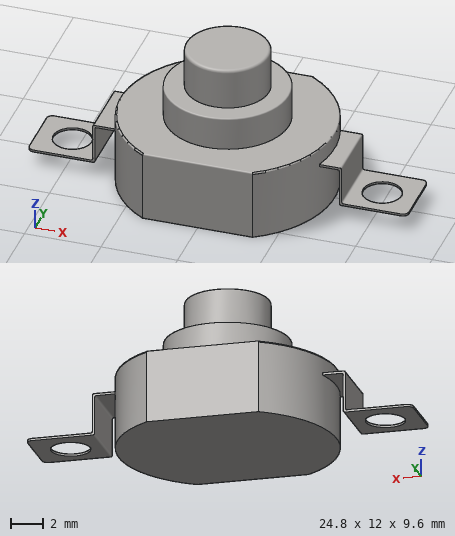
import cadquery as cq

housing_diameter = 13.99
housing_depth = 12.0
housing_height = 4.69
housing_edge_round = 0.1
collar_diameter = 8.0
collar_top = 6.9
collar_edge_round = 0.1

button_diameter = 5.4
button_top = 9.6
button_edge_round = 0.2

terminal_span = 24.8
terminal_width = 4.22
sheet_thickness = 0.15
tab_bottom = 0.9
shelf_top = 3.62
riser_outer_x = 8.13
bend_radius = 0.12
tab_corner_radius = 0.4
tab_hole_diameter = 2.5
tab_hole_x = 10.12
tab_hole_y = -0.07


def make_housing():
    """Flatted round block with a collar on top, in one piece."""
    flats = cq.Workplane("XY").box(
        housing_diameter, housing_depth, housing_height, centered=(True, True, False)
    )
    block = (
        cq.Workplane("XY")
        .circle(housing_diameter / 2)
        .extrude(housing_height)
        .intersect(flats)
        .faces(">Z")
        .edges()
        .fillet(housing_edge_round)
    )
    collar = (
        cq.Workplane("XY")
        .workplane(offset=housing_height)
        .circle(collar_diameter / 2)
        .extrude(collar_top - housing_height)
        .faces(">Z")
        .edges()
        .fillet(collar_edge_round)
    )
    return block.union(collar)


def make_button():
    """Round push button resting on the collar."""
    return (
        cq.Workplane("XY")
        .workplane(offset=collar_top)
        .circle(button_diameter / 2)
        .extrude(button_top - collar_top)
        .faces(">Z")
        .edges()
        .fillet(button_edge_round)
    )


def make_terminal():
    """Z-bent strip on the +X side: shelf at the housing wall, riser, then a drilled tab."""
    tip_x = terminal_span / 2
    riser_inner_x = riser_outer_x - sheet_thickness
    tab_top = tab_bottom + sheet_thickness
    shelf_bottom = shelf_top - sheet_thickness
    profile = [
        (0, shelf_top),
        (riser_outer_x, shelf_top),
        (riser_outer_x, tab_top),
        (tip_x, tab_top),
        (tip_x, tab_bottom),
        (riser_inner_x, tab_bottom),
        (riser_inner_x, shelf_bottom),
        (0, shelf_bottom),
    ]
    strip = cq.Workplane("XZ").polyline(profile).close().extrude(terminal_width / 2, both=True)

    half_sheet = sheet_thickness / 2
    for bend_z in (shelf_top - half_sheet, tab_bottom + half_sheet):
        bend_zone = cq.selectors.BoxSelector(
            (riser_inner_x - half_sheet, -terminal_width, bend_z - sheet_thickness),
            (riser_outer_x + half_sheet, terminal_width, bend_z + sheet_thickness),
        )
        strip = strip.edges("|Y").edges(bend_zone).fillet(bend_radius)

    strip = strip.faces(">X").edges("|Z").fillet(tab_corner_radius)

    hole = (
        cq.Workplane("XY")
        .center(tab_hole_x, tab_hole_y)
        .circle(tab_hole_diameter / 2)
        .extrude(shelf_top)
    )
    housing_round = cq.Workplane("XY").circle(housing_diameter / 2).extrude(housing_height)
    return strip.cut(hole).cut(housing_round)


housing = make_housing()
button = make_button()
right_terminal = make_terminal()
terminals = [terminal.val() for terminal in (right_terminal, right_terminal.mirror("YZ"))]

result = cq.Compound.makeCompound([housing.val(), button.val(), *terminals])